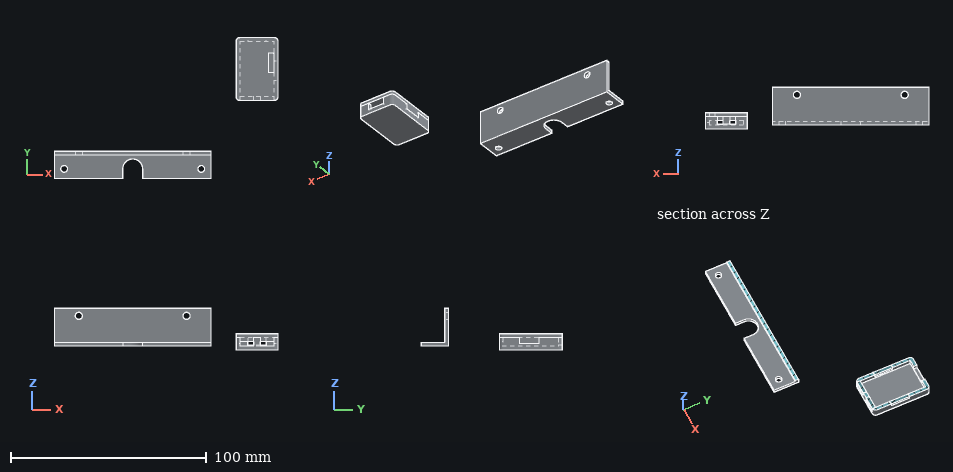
import cadquery as cq

BRACKET_LENGTH = 80.0
BRACKET_DEPTH = 14.0
BRACKET_HEIGHT = 19.5
BRACKET_THICKNESS = 2.0

FLANGE_HOLE_DIAMETER = 3.3
FLANGE_HOLE_END_MARGIN = 5.0
FLANGE_HOLE_FRONT_MARGIN = 5.0

WALL_HOLE_DIAMETER = 3.5
WALL_HOLE_END_MARGIN = 12.5
WALL_HOLE_HEIGHT = 15.5

NOTCH_WIDTH = 10.0
NOTCH_DEPTH = 10.0

BOX_WIDTH = 21.5
BOX_LENGTH = 32.2
BOX_HEIGHT = 8.4
BOX_WALL = 2.0
BOX_CORNER_RADIUS = BOX_WALL

TOTAL_WIDTH = 114.25
TOTAL_DEPTH = 72.09

BOX_BOTTOM = -BOX_WALL
BOX_TOP = BOX_BOTTOM + BOX_HEIGHT
SEAM = BOX_TOP - BOX_WALL
BOX_LEFT = TOTAL_WIDTH - BOX_WIDTH
BOX_RIGHT = BOX_LEFT + BOX_WIDTH
BOX_FRONT = TOTAL_DEPTH - BOX_LENGTH
BOX_BACK = BOX_FRONT + BOX_LENGTH
INNER_LEFT = BOX_LEFT + BOX_WALL
INNER_RIGHT = BOX_RIGHT - BOX_WALL
INNER_FRONT = BOX_FRONT + BOX_WALL
INNER_BACK = BOX_BACK - BOX_WALL
BOX_CENTER = (BOX_LEFT + BOX_RIGHT) / 2

POST_WIDTH = 3.5
POST_FOOT_RADIUS = 1.0

SKIRT_DROP = 2.0

TAB_LENGTH = 10.0
TAB_DROP = 3.0
TAB_BACK_MARGIN = 12.0
TAB_FRONT = BOX_BACK - TAB_BACK_MARGIN - TAB_LENGTH

PORT_WIDTH = 9.3
PORT_SILL = 0.5

WINDOW_WIDTH = 3.0
WINDOW_LENGTH = 10.0
WINDOW_BACK_MARGIN = 8.0
WINDOW_FRONT = BOX_BACK - WINDOW_BACK_MARGIN - WINDOW_LENGTH
WINDOW_CORNER_RADIUS = 0.5


def block(x_range, y_range, z_range):
    """Axis-aligned block between pairs of coordinates."""
    (x0, x1), (y0, y1), (z0, z1) = x_range, y_range, z_range
    return cq.Workplane("XY").box(x1 - x0, y1 - y0, z1 - z0, centered=False).translate((x0, y0, z0))


def make_bracket():
    flange = block((0, BRACKET_LENGTH), (0, BRACKET_DEPTH), (0, BRACKET_THICKNESS))
    wall_front = BRACKET_DEPTH - BRACKET_THICKNESS
    wall = block((0, BRACKET_LENGTH), (wall_front, BRACKET_DEPTH), (0, BRACKET_HEIGHT))
    bracket = flange.union(wall)

    flange_holes = (
        cq.Workplane("XY")
        .pushPoints([
            (FLANGE_HOLE_END_MARGIN, FLANGE_HOLE_FRONT_MARGIN),
            (BRACKET_LENGTH - FLANGE_HOLE_END_MARGIN, FLANGE_HOLE_FRONT_MARGIN),
        ])
        .circle(FLANGE_HOLE_DIAMETER / 2)
        .extrude(BRACKET_THICKNESS)
    )
    wall_holes = (
        cq.Workplane("XZ")
        .pushPoints([
            (WALL_HOLE_END_MARGIN, WALL_HOLE_HEIGHT),
            (BRACKET_LENGTH - WALL_HOLE_END_MARGIN, WALL_HOLE_HEIGHT),
        ])
        .circle(WALL_HOLE_DIAMETER / 2)
        .extrude(-BRACKET_DEPTH)
    )

    notch_left = (BRACKET_LENGTH - NOTCH_WIDTH) / 2
    notch_right = notch_left + NOTCH_WIDTH
    notch_arc_start = NOTCH_DEPTH - NOTCH_WIDTH / 2
    notch = (
        cq.Workplane("XY")
        .moveTo(notch_left, 0)
        .lineTo(notch_left, notch_arc_start)
        .threePointArc((BRACKET_LENGTH / 2, NOTCH_DEPTH), (notch_right, notch_arc_start))
        .lineTo(notch_right, 0)
        .close()
        .extrude(BRACKET_THICKNESS)
    )
    return bracket.cut(flange_holes).cut(wall_holes).cut(notch)


def box_slab(z_range):
    """Slab with the rounded outline of the enclosure."""
    slab = block((BOX_LEFT, BOX_RIGHT), (BOX_FRONT, BOX_BACK), z_range)
    return slab.edges("|Z").fillet(BOX_CORNER_RADIUS)


def make_side_tabs():
    """Locking tabs of the lid, one in each side wall."""
    y_range = (TAB_FRONT, TAB_FRONT + TAB_LENGTH)
    z_range = (SEAM - TAB_DROP, SEAM)
    left_tab = block((BOX_LEFT, INNER_LEFT), y_range, z_range)
    right_tab = block((INNER_RIGHT, BOX_RIGHT), y_range, z_range)
    return left_tab.union(right_tab)


def make_post():
    """Post in the middle of the front opening, flared by a round on each side of its foot."""
    half = POST_WIDTH / 2
    foot = half + POST_FOOT_RADIUS
    profile = (
        cq.Workplane("XZ", origin=(BOX_CENTER, BOX_FRONT, 0))
        .moveTo(-foot, 0)
        .radiusArc((-half, POST_FOOT_RADIUS), -POST_FOOT_RADIUS)
        .lineTo(-half, SEAM)
        .lineTo(half, SEAM)
        .lineTo(half, POST_FOOT_RADIUS)
        .radiusArc((foot, 0), -POST_FOOT_RADIUS)
        .close()
    )
    return profile.extrude(-BOX_WALL)


def make_base():
    base = box_slab((BOX_BOTTOM, SEAM))
    cavity = block((INNER_LEFT, INNER_RIGHT), (BOX_FRONT, INNER_BACK), (0, SEAM))
    port = block(
        (BOX_CENTER - PORT_WIDTH / 2, BOX_CENTER + PORT_WIDTH / 2),
        (INNER_BACK, BOX_BACK),
        (PORT_SILL, SEAM),
    )
    return base.cut(cavity).cut(port).cut(make_side_tabs()).union(make_post())


def make_lid():
    plate = box_slab((SEAM, BOX_TOP))
    skirt = block((INNER_LEFT, INNER_RIGHT), (BOX_FRONT, INNER_FRONT), (SEAM - SKIRT_DROP, SEAM))
    window = block(
        (INNER_RIGHT - WINDOW_WIDTH, INNER_RIGHT),
        (WINDOW_FRONT, WINDOW_FRONT + WINDOW_LENGTH),
        (SEAM, BOX_TOP),
    )
    window = window.edges("|Z and >X").fillet(WINDOW_CORNER_RADIUS)
    return plate.union(skirt.cut(make_post())).union(make_side_tabs()).cut(window)


bracket = make_bracket()
base = make_base()
lid = make_lid()

result = cq.Compound.makeCompound([bracket.val(), base.val(), lid.val()])